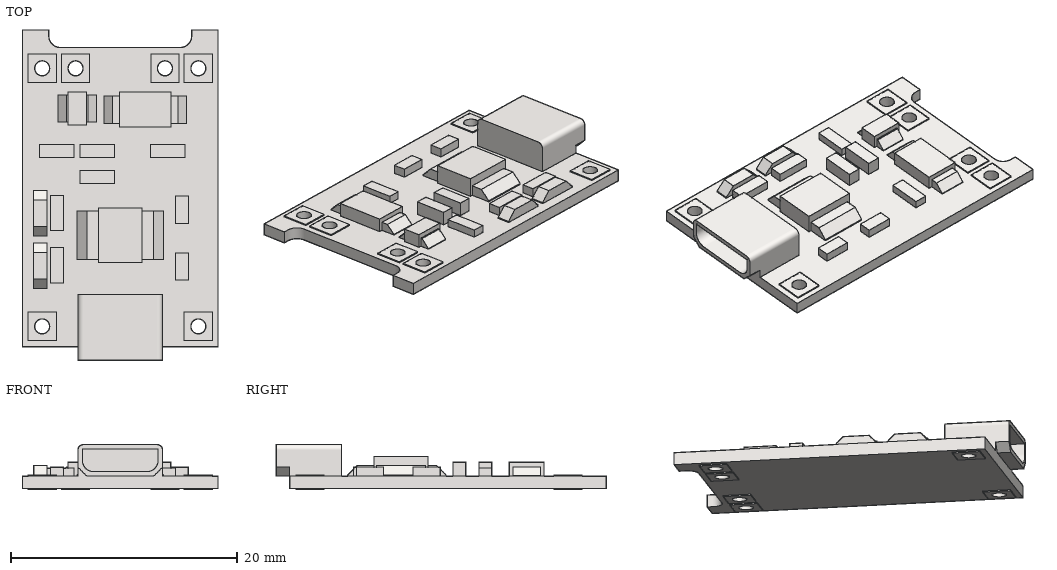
import cadquery as cq


board_width = 17.3
board_length = 28.0
board_thickness = 1.1
notch_width = 12.6
notch_depth = 1.55
notch_radius = 1.0

pad_size = 2.5
pad_thickness = 0.1
pad_hole_diameter = 1.3
outer_pad_x = 6.9
inner_pad_x = 3.95
front_pad_y = 1.8
rear_pad_y = 24.6

connector_width = 7.5
connector_length = 5.8
connector_height = 2.8
connector_overhang = 1.2
connector_wall = 0.4
connector_top_radius = 0.5
connector_bottom_chamfer = 0.8
cavity_bottom_radius = 1.0

chip_length = 3.05
chip_width = 1.15
low_chip_height = 0.7
side_chip_height = 0.8
tall_chip_height = 1.25
chip_row_y = 17.3
second_row_y = 15.0
left_chip_x = -5.6
middle_chip_x = -2.05
right_chip_x = 4.2
resistor_x = -5.6
resistor_ys = (7.2, 11.8)
resistor_length = 3.1
side_chip_x = 5.45
side_chip_length = 2.4
side_chip_ys = (7.1, 12.1)

led_x = -7.05
led_width = 1.2
led_length = 4.05
led_height = 0.95
led_end_slope = 0.85
led_ys = (7.15, 11.8)

main_body = (3.8, 4.8, 1.75)
main_leads = (7.6, 4.3, 0.95)
main_slope = 0.85
main_centre = (0.0, 9.85)
transistor_body = (1.65, 2.9, 1.25)
transistor_leads = (3.4, 2.35, 0.8)
transistor_centre = (-3.8, 21.05)
protector_body = (4.55, 3.1, 1.25)
protector_leads = (7.3, 2.45, 0.8)
protector_centre = (2.2, 20.95)
small_slope = 0.75


def block(size, centre, base=board_thickness):
    """Rectangular block standing on the given level."""
    return (
        cq.Workplane("XY")
        .box(*size, centered=(True, True, False))
        .translate((centre[0], centre[1], base))
    )


def make_board():
    """Flat board with a round-cornered notch in its rear edge."""
    board = block((board_width, board_length, board_thickness), (0, board_length / 2), base=0)
    notch = block((notch_width, 2 * notch_depth, board_thickness), (0, board_length), base=0)
    return board.cut(notch.edges("|Z and <Y").fillet(notch_radius))


def sloped_block(size, slope, centre, along_y=False):
    """Block whose two ends, along X or along Y, slope in at 45 degrees at the top."""
    ends = "|X" if along_y else "|Y"
    return block(size, centre).edges(ends + " and >Z").chamfer(slope)


def leaded_package(body, leads, slope, centre):
    """Package body standing over a strip of leads sloped at both X ends."""
    return block(body, centre).union(sloped_block(leads, slope, centre))


def make_connector():
    """Open-ended connector shell that overhangs the front edge of the board."""
    middle_y = connector_length / 2 - connector_overhang
    shell = block((connector_width, connector_length, connector_height), (0, middle_y))
    shell = shell.edges("|Y and >Z").fillet(connector_top_radius)

    for side in (-1, 1):
        corner_x = side * connector_width / 2
        corner = (
            cq.Workplane("XZ")
            .moveTo(corner_x, board_thickness)
            .lineTo(corner_x - side * connector_bottom_chamfer, board_thickness)
            .lineTo(corner_x, board_thickness + connector_bottom_chamfer)
            .close()
            .extrude(connector_overhang)
        )
        shell = shell.cut(corner)

    cavity = block(
        (
            connector_width - 2 * connector_wall,
            connector_length - connector_wall,
            connector_height - 2 * connector_wall,
        ),
        (0, middle_y - connector_wall / 2),
        base=board_thickness + connector_wall,
    )
    return shell.cut(cavity.edges("|Y and <Z").fillet(cavity_bottom_radius))


def add_pads(part):
    """Pads on both faces of the board, each with a through hole."""
    pad_centres = []
    for side in (-1, 1):
        pad_centres.append((side * outer_pad_x, front_pad_y))
        pad_centres.append((side * outer_pad_x, rear_pad_y))
        pad_centres.append((side * inner_pad_x, rear_pad_y))

    stack_height = board_thickness + 2 * pad_thickness
    for centre in pad_centres:
        part = part.union(block((pad_size, pad_size, stack_height), centre, base=-pad_thickness))
    holes = (
        cq.Workplane("XY", origin=(0, 0, -pad_thickness))
        .pushPoints(pad_centres)
        .circle(pad_hole_diameter / 2)
        .extrude(stack_height)
    )
    return part.cut(holes)


def add_block_components(part):
    """Low and tall chips lying along X, then resistors and side chips lying along Y."""
    for x in (left_chip_x, right_chip_x):
        part = part.union(block((chip_length, chip_width, low_chip_height), (x, chip_row_y)))
    for y in (chip_row_y, second_row_y):
        part = part.union(block((chip_length, chip_width, tall_chip_height), (middle_chip_x, y)))
    for y in resistor_ys:
        part = part.union(block((chip_width, resistor_length, side_chip_height), (resistor_x, y)))
    for y in side_chip_ys:
        part = part.union(block((chip_width, side_chip_length, side_chip_height), (side_chip_x, y)))
    return part


def add_leds(part):
    """Two LEDs in line along Y."""
    size = (led_width, led_length, led_height)
    for y in led_ys:
        part = part.union(sloped_block(size, led_end_slope, (led_x, y), along_y=True))
    return part


result = make_board()
result = add_pads(result)
result = add_block_components(result)
result = add_leds(result)
result = result.union(leaded_package(main_body, main_leads, main_slope, main_centre))
result = result.union(leaded_package(transistor_body, transistor_leads, small_slope, transistor_centre))
result = result.union(leaded_package(protector_body, protector_leads, small_slope, protector_centre))
result = result.union(make_connector())